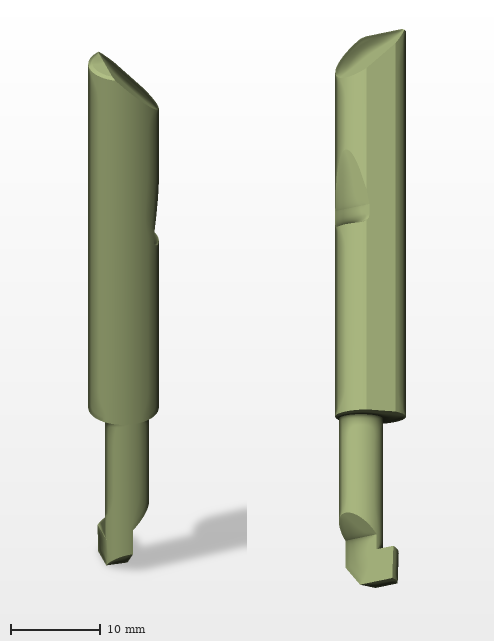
import cadquery as cq
import math

total_length = 63.5
shank_radius = 3.97
shank_bottom = 19.05
rim_chamfer_height = 0.2
rim_chamfer_width = 0.45
flat_end_y = 3.1
slope_start_y = -2.1

notch_top = 49.15
notch_knee = 42.7
notch_bottom = 40.6
notch_depth = 1.15
notch_fillet = 0.9

neck_radius = 2.5
neck_x = shank_radius - neck_radius
relief_bottom = 5.4

head_height = 3.7
head_front_height = 3.3
head_right_x = 1.65
tip_x = -3.6
tip_front_x = -2.0
side_bulge = 0.25
side_taper = 0.2

cut_reach = 12.7


def prism_along_x(points):
    """Prism with a (y, z) outline, spanning the part in X."""
    return cq.Workplane("YZ").polyline(points).close().extrude(cut_reach, both=True)


def make_shank():
    shank = (
        cq.Workplane("XY").workplane(offset=shank_bottom)
        .circle(shank_radius).extrude(total_length - shank_bottom)
        .faces(">Z").chamfer(rim_chamfer_height, rim_chamfer_width)
    )
    flat_end_x = -math.sqrt(shank_radius**2 - flat_end_y**2)
    flat_waste = (
        cq.Workplane("XY")
        .polyline([
            (-shank_radius, 0),
            (flat_end_x, flat_end_y),
            (-shank_radius, flat_end_y),
        ])
        .close().extrude(total_length)
    )
    end_waste = prism_along_x([
        (slope_start_y, total_length),
        (slope_start_y + cut_reach, total_length - cut_reach),
        (slope_start_y + cut_reach, total_length),
    ])
    floor_y = shank_radius - notch_depth
    notch = (
        cq.Workplane("YZ")
        .moveTo(shank_radius, notch_top)
        .lineTo(floor_y, notch_knee)
        .lineTo(floor_y, notch_bottom + notch_fillet)
        .radiusArc((floor_y + notch_fillet, notch_bottom), -notch_fillet)
        .lineTo(shank_radius, notch_bottom)
        .close().extrude(cut_reach, both=True)
    )
    return shank.cut(flat_waste).cut(end_waste).cut(notch)


def make_neck():
    neck = cq.Workplane("XY").center(neck_x, 0).circle(neck_radius).extrude(shank_bottom)
    back_relief = prism_along_x([
        (0, 0),
        (0, relief_bottom),
        (cut_reach, relief_bottom + cut_reach),
        (cut_reach, 0),
    ])
    return neck.cut(back_relief)


def head_section(lean):
    """Head outline at one level, with its curved side moved by lean in X."""
    back = (tip_x + lean, 0)
    front = (tip_front_x + lean, -neck_radius)
    side_length = math.dist(back, front)
    bow_x = side_bulge * neck_radius / side_length
    bow_y = side_bulge * (tip_front_x - tip_x) / side_length
    bow = ((back[0] + front[0]) / 2 - bow_x, (back[1] + front[1]) / 2 - bow_y)
    return (
        cq.Sketch()
        .segment((head_right_x, 0), back)
        .arc(back, bow, front)
        .segment(front, (head_right_x, -neck_radius))
        .close().assemble()
    )


def make_head():
    bottom = head_section(side_taper)
    top = head_section(0).moved(cq.Location((0, 0, head_height)))
    head = cq.Workplane("XY").placeSketch(bottom, top).loft()
    top_waste = prism_along_x([
        (0, head_height),
        (-neck_radius, head_front_height),
        (-neck_radius, head_height),
    ])
    return head.cut(top_waste)


def corner_waste():
    """45 degree bevel under the +X side of the neck."""
    bevel = shank_radius - head_right_x
    return (
        cq.Workplane("XZ")
        .polyline([(head_right_x, 0), (shank_radius, bevel), (shank_radius, 0)])
        .close().extrude(cut_reach, both=True)
    )


result = make_shank().union(make_neck()).union(make_head()).cut(corner_waste())